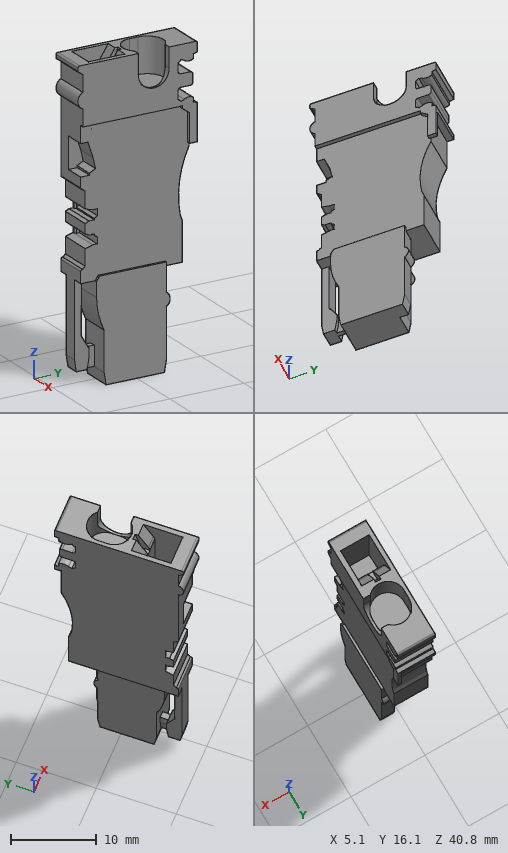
import cadquery as cq
import math

width, depth, height = 5.1, 16.15, 40.75

body_x = 4.6
body_bottom = 13.2
front_y = 0.65
recess_y = 1.25
step_height = 0.57
step_round = 0.25
top_step_z = 40.15
back_y = 15.3
shoulder_z = 32.27
hollow_top, hollow_z, hollow_bottom = 27.6, 23.23, 19.25
hollow_y, hollow_end_y = 13.98, 14.1
foot_y, foot_z = 14.4, 18.4
top_round = 0.25

latch_z = 36.23
latch_floor_y = 13.53
latch_round = 0.35
tongue_y = 15.53
tongue_half = 0.85
groove_half = 2.6
lip_y = 15.6
lip_half, lip_edge_half = 3.0, 3.18
lip_end_half = 2.45
lip_peak_y, lip_peak_half = 14.9, 2.25
lip_neck_y, pit_y = 14.35, 13.95

bead_z = 36.3
bead_half = 1.05

grip_z = 19.95
grip_recess_half = 5.25
grip_floor_y = 2.3
grip_ramp_y = 1.75
grip_tip_half, grip_near_half = 0.65, 0.9
grip_far_half, grip_mouth_half = 2.2, 2.5
grip_deep_y = 2.9
grip_ledge_y, grip_ledge_half = 2.5, 1.05
grip_deep_near_half = 1.35
grip_deep_x = 0.45
grip_deep_bevel = 0.2

cover_z = 33.0
cover_step_y, cover_step_z = 14.1, 32.7
tab_y = 15.08
tab_top, tab_bottom = 31.95, 28.1

notch_x = 1.75
notch_top, notch_bottom = 30.75, 26.55
notch_top_y = 1.65
notch_bend_y, notch_bend_z = 2.32, 28.7
notch_deep_y, notch_deep_z = 2.65, 27.25
notch_sill_y, notch_sill_z = 1.85, 26.8

bore_x, bore_y = 2.6, 10.23
bore_width, bore_length = 4.28, 5.45
opening_width = 4.15
opening_bottom = 36.02

funnel_x0, funnel_x1 = 0.57, 4.45
funnel_y0, funnel_y1 = 1.8, 6.72
funnel_ramp_y, funnel_ramp_z = 5.45, 38.85
funnel_wall_y, funnel_wall_z = 5.25, 38.45
funnel_floor_z = 32.6
funnel_mid_y = (funnel_y0 + funnel_wall_y) / 2
funnel_mid_z, funnel_end_z = 32.5, 32.2
key_x0, key_x1 = 2.1, 2.8
key_y, key_ramp_y, key_floor_z = 7.15, 6.3, 38.3

plug_x0, plug_mid_x, plug_x1 = 0.6, 3.18, 4.95
plug_front_y = 2.6
plug_throat_y = 3.63
plug_throat_top, plug_throat_bottom = 11.2, 6.93
plug_throat_mid_y, plug_throat_mid_z = 2.9, 8.95
plug_back_near, plug_back_far = 10.95, 12.05
plug_taper_z = 1.6
plug_taper = 0.3
plug_ear_top, plug_ear_slope = 13.8, 0.4
plug_bump_z, plug_bump_half, plug_bump = 9.13, 0.9, 0.5

arm_x0 = 1.22
arm_y = 1.6
arm_knee_z = 5.95
arm_hook_z = 4.28
arm_taper_z = 3.18
arm_bottom = 1.65
arm_taper = 0.25
web_x0, web_x1 = 1.85, 2.65
web_taper = 0.3
web_y0, web_y1 = 0.9, 4.2


def side_sketch(x, start):
    """Start an outline in (Y, Z) on the plane at the given X."""
    return cq.Workplane("YZ", origin=(x, 0, 0)).moveTo(*start)


def slab(x0, x1, points):
    """Straight-sided outline in (Y, Z), filled from x0 to x1."""
    return side_sketch(x0, points[0]).polyline(points[1:], includeCurrent=True).close().extrude(x1 - x0)


def quarter_arc(outline, corner, start_side, end_side, radius):
    """Round a square corner; the sides are unit steps (Y, Z) from the corner to the arc's two ends."""
    start = [c + radius * s for c, s in zip(corner, start_side)]
    end = [c + radius * e for c, e in zip(corner, end_side)]
    inset = radius * (1 - math.sqrt(0.5))
    middle = [c + inset * (s + e) for c, s, e in zip(corner, start_side, end_side)]
    return outline.lineTo(*start).threePointArc(tuple(middle), tuple(end))


def make_plate():
    recess_top = grip_z + grip_recess_half
    recess_bottom = grip_z - grip_recess_half
    outline = side_sketch(0, (0, height))
    outline = quarter_arc(outline, (0, top_step_z - step_round), (0, 1), (1, 0), step_round)
    outline = (
        outline.lineTo(front_y, top_step_z - step_height)
        .lineTo(front_y, bead_z + bead_half)
        .threePointArc((0, bead_z), (front_y, bead_z - bead_half))
    )
    outline = quarter_arc(outline, (front_y, recess_top - step_round), (0, 1), (1, 0), step_round)
    outline = (
        outline.lineTo(recess_y, recess_top - step_height)
        .lineTo(recess_y, recess_bottom + step_height)
    )
    outline = quarter_arc(outline, (front_y, recess_bottom + step_round), (1, 0), (0, -1), step_round)
    return (
        outline.lineTo(front_y, body_bottom)
        .lineTo(foot_y, body_bottom)
        .lineTo(foot_y, foot_z)
        .lineTo(hollow_end_y, hollow_bottom)
        .threePointArc((hollow_y, hollow_z), (back_y, hollow_top))
        .lineTo(back_y, shoulder_z)
        .lineTo(depth, shoulder_z)
        .lineTo(depth, height)
        .close()
        .extrude(width)
    )


def cover_tab():
    return slab(body_x, width, [
        (tab_y, tab_bottom), (depth, tab_bottom), (depth, shoulder_z), (tab_y, shoulder_z),
    ])


def cover_relief():
    """Space on the +X side of the plate, below the cover layer and around its tab."""
    return slab(body_x, width, [
        (0, cover_z), (cover_step_y, cover_z), (cover_step_y, cover_step_z), (tab_y, tab_top),
        (tab_y, tab_bottom), (depth, tab_bottom), (depth, 0), (0, 0),
    ])


def latch_groove(side):
    """One groove above (side = 1) or below (side = -1) the latch tongue, with its half of the rounded tip."""
    def at(offset):
        return latch_z + side * offset

    outline = side_sketch(0, (depth, latch_z)).lineTo(tongue_y, latch_z)
    outline = quarter_arc(outline, (tongue_y, at(tongue_half)), (0, -side), (-1, 0), latch_round)
    outline = quarter_arc(outline, (latch_floor_y, at(tongue_half)), (1, 0), (0, side), latch_round)
    return (
        outline.lineTo(latch_floor_y, at(groove_half - latch_round))
        .lineTo(pit_y, at(groove_half))
        .lineTo(lip_neck_y, at(lip_end_half))
        .threePointArc((lip_peak_y, at(lip_peak_half)), (lip_y, at(lip_end_half)))
        .lineTo(lip_y, at(lip_half))
        .lineTo(depth, at(lip_edge_half))
        .close()
        .extrude(width)
    )


def grip_groove(side):
    """One groove above (side = 1) or below (side = -1) the grip rib, deeper away from the -X face."""
    def at(offset):
        return grip_z + side * offset

    groove = slab(0, width, [
        (0, at(grip_tip_half)), (recess_y, at(grip_tip_half)), (grip_ramp_y, at(grip_near_half)),
        (grip_floor_y, at(grip_near_half)), (grip_floor_y, at(grip_far_half)),
        (recess_y, at(grip_mouth_half)), (0, at(grip_mouth_half)),
    ])
    deep = slab(grip_deep_x, width, [
        (recess_y, at(grip_near_half)), (grip_ledge_y, at(grip_near_half)),
        (grip_ledge_y, at(grip_ledge_half)),
        (grip_deep_y, at(grip_deep_near_half)), (grip_deep_y, at(grip_far_half)),
        (recess_y, at(grip_far_half)),
    ])
    bevel = (
        cq.Workplane("XY", origin=(0, 0, at(grip_near_half)))
        .moveTo(grip_deep_x - grip_deep_bevel, grip_floor_y)
        .lineTo(grip_deep_x, grip_floor_y)
        .lineTo(grip_deep_x, grip_ledge_y)
        .close()
        .extrude(side * (grip_far_half - grip_near_half))
    )
    return groove.union(deep).union(bevel)


def side_notch():
    return slab(notch_x, width, [
        (0, notch_top), (notch_top_y, notch_top), (notch_bend_y, notch_bend_z), (notch_deep_y, notch_deep_z),
        (notch_sill_y, notch_sill_z), (notch_sill_y, notch_bottom), (0, notch_bottom),
    ])


def screw_bore():
    bore = (
        cq.Workplane("XY", origin=(bore_x, bore_y, opening_bottom))
        .slot2D(bore_length, bore_width, 90)
        .extrude(height - opening_bottom)
    )
    radius = opening_width / 2
    opening = (
        side_sketch(bore_x, (bore_y - radius, height))
        .lineTo(bore_y - radius, opening_bottom + radius)
        .threePointArc((bore_y, opening_bottom), (bore_y + radius, opening_bottom + radius))
        .lineTo(bore_y + radius, height)
        .close()
        .extrude(width - bore_x)
    )
    return bore.union(opening)


def wire_funnel():
    """Funnel with a sloped +Y wall, a floor that curves down toward -Y, and a key slot in the slope."""
    funnel = (
        side_sketch(funnel_x0, (funnel_y0, height))
        .lineTo(funnel_y1, height)
        .lineTo(funnel_ramp_y, funnel_ramp_z)
        .lineTo(funnel_wall_y, funnel_wall_z)
        .lineTo(funnel_wall_y, funnel_floor_z)
        .threePointArc((funnel_mid_y, funnel_mid_z), (funnel_y0, funnel_end_z))
        .close()
        .extrude(funnel_x1 - funnel_x0)
    )
    key = slab(key_x0, key_x1, [
        (funnel_wall_y, height), (key_y, height), (key_ramp_y, key_floor_z), (funnel_wall_y, key_floor_z),
    ])
    return funnel.union(key)


def plug_layer(x0, x1, rear_y):
    """Part of the plug between x0 and x1, with its snap bump on the rear edge."""
    return (
        side_sketch(x0, (plug_front_y, body_bottom))
        .lineTo(plug_front_y, plug_throat_top)
        .threePointArc((plug_throat_mid_y, plug_throat_mid_z), (plug_throat_y, plug_throat_bottom))
        .lineTo(plug_throat_y, plug_taper_z)
        .lineTo(plug_throat_y + plug_taper, 0)
        .lineTo(rear_y - plug_taper, 0)
        .lineTo(rear_y, plug_taper_z)
        .lineTo(rear_y, plug_bump_z - plug_bump_half)
        .threePointArc((rear_y + plug_bump, plug_bump_z), (rear_y, plug_bump_z + plug_bump_half))
        .lineTo(rear_y, body_bottom)
        .close()
        .extrude(x1 - x0)
    )


def plug_ear():
    """Strip of the plug that laps onto the +X face of the body, with a sloped top."""
    return slab(body_x, plug_x1, [
        (plug_front_y, body_bottom), (plug_front_y + plug_ear_slope, plug_ear_top),
        (plug_back_far, plug_ear_top), (plug_back_far, body_bottom),
    ])


def spring_arm():
    arm = slab(arm_x0, plug_mid_x, [
        (front_y, body_bottom), (arm_y, body_bottom), (arm_y, arm_knee_z), (plug_front_y, arm_hook_z),
        (plug_front_y, arm_taper_z), (plug_front_y - arm_taper, arm_bottom),
        (front_y + arm_taper, arm_bottom), (front_y, arm_taper_z),
    ])
    web = (
        cq.Workplane("XZ", origin=(0, web_y0, 0))
        .polyline([
            (web_x0, arm_hook_z), (web_x1, arm_hook_z), (web_x1, arm_bottom),
            (web_x0 + web_taper, arm_bottom), (web_x0, arm_taper_z),
        ])
        .close()
        .extrude(web_y0 - web_y1)
    )
    return arm.union(web)


body = make_plate().union(cover_tab()).cut(cover_relief())
for side in (1, -1):
    body = body.cut(latch_groove(side)).cut(grip_groove(side))
body = body.edges("|X and >Z").fillet(top_round)
body = body.cut(side_notch()).cut(screw_bore()).cut(wire_funnel())

plug = plug_layer(plug_x0, plug_mid_x, plug_back_near)
plug = plug.union(plug_layer(plug_mid_x, plug_x1, plug_back_far)).union(plug_ear())

result = body.union(plug).union(spring_arm())